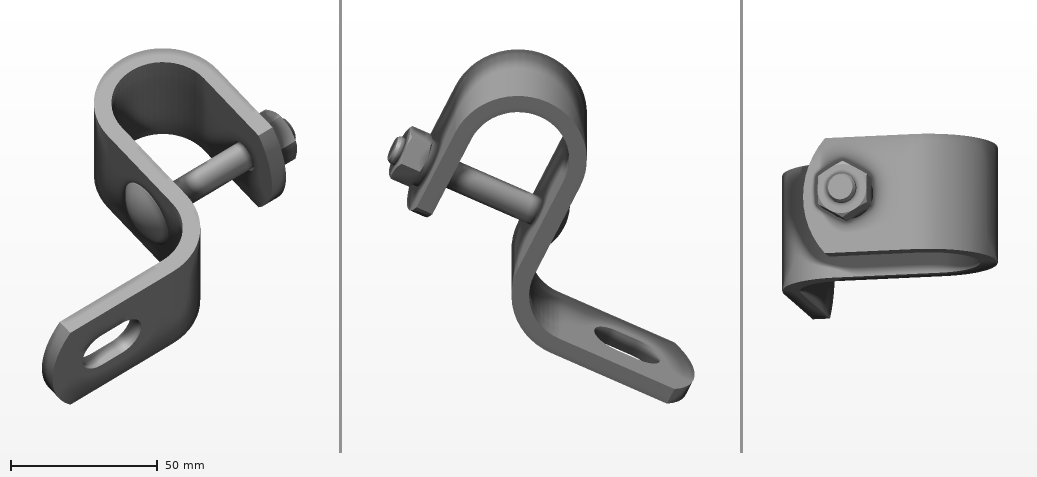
import cadquery as cq
import math

STRIP_WIDTH = 40.0
STRIP_THICKNESS = 6.0
BEND_INNER_RADIUS = 17.5
BEND_OUTER_RADIUS = BEND_INNER_RADIUS + STRIP_THICKNESS
FRONT_ARM_LENGTH = 36.5
END_RADIUS = 30.0
END_RISE = END_RADIUS - math.sqrt(END_RADIUS**2 - (STRIP_WIDTH / 2) ** 2)
BACK_ARM_LENGTH = 38.5
LEG_LENGTH = 51.4

LEG_BEND_Y = -BEND_OUTER_RADIUS - BEND_INNER_RADIUS
LEG_OUTER_X = FRONT_ARM_LENGTH + BEND_OUTER_RADIUS
LEG_INNER_X = LEG_OUTER_X - STRIP_THICKNESS
LEG_END_Y = LEG_BEND_Y - LEG_LENGTH

SLOT_LENGTH = 25.0
SLOT_WIDTH = 16.5
SLOT_CENTRE_Y = LEG_BEND_Y - 26.0

BOLT_X = 22.5
BOLT_DIAMETER = 10.0
BOLT_LENGTH = 60.0
TIP_DIAMETER = 8.5
TIP_LENGTH = 1.2
HEAD_DIAMETER = 24.0
HEAD_HEIGHT = 5.0
HEAD_RIM_HEIGHT = 0.4
CLEARANCE_HOLE_DIAMETER = 11.5

WASHER_DIAMETER = 17.0
WASHER_THICKNESS = 2.0

NUT_ACROSS_FLATS = 17.0
NUT_HEIGHT = 8.4
NUT_ACROSS_CORNERS = NUT_ACROSS_FLATS / math.cos(math.pi / 6)
NUT_CHAMFER_ANGLE = 30.0

HEAD_SEAT_Y = -BEND_OUTER_RADIUS
WASHER_SEAT_Y = BEND_OUTER_RADIUS
NUT_SEAT_Y = WASHER_SEAT_Y + WASHER_THICKNESS


def cylinder_along_y(diameter, start_y, length):
    """Cylinder on the bolt axis, growing towards +Y."""
    plane = cq.Plane(origin=(BOLT_X, start_y, 0), xDir=(1, 0, 0), normal=(0, 1, 0))
    return cq.Workplane(plane).circle(diameter / 2).extrude(length)


def revolve_about_bolt_axis(profile):
    """Full turn of a profile drawn in XY with the bolt axis at local x = 0."""
    return profile.close().revolve(360, (0, 0, 0), (0, 1, 0))


def bent_strip():
    """Strip with square ends: free arm, clamp loop, front arm, bend and leg."""
    diagonal = math.sqrt(0.5)
    return (
        cq.Workplane("XY", origin=(0, 0, -STRIP_WIDTH / 2))
        .moveTo(BACK_ARM_LENGTH, BEND_OUTER_RADIUS)
        .lineTo(0, BEND_OUTER_RADIUS)
        .threePointArc((-BEND_OUTER_RADIUS, 0), (0, -BEND_OUTER_RADIUS))
        .lineTo(FRONT_ARM_LENGTH, -BEND_OUTER_RADIUS)
        .threePointArc(
            (
                FRONT_ARM_LENGTH + BEND_INNER_RADIUS * diagonal,
                LEG_BEND_Y + BEND_INNER_RADIUS * diagonal,
            ),
            (LEG_INNER_X, LEG_BEND_Y),
        )
        .lineTo(LEG_INNER_X, LEG_END_Y)
        .lineTo(LEG_OUTER_X, LEG_END_Y)
        .lineTo(LEG_OUTER_X, LEG_BEND_Y)
        .threePointArc(
            (
                FRONT_ARM_LENGTH + BEND_OUTER_RADIUS * diagonal,
                LEG_BEND_Y + BEND_OUTER_RADIUS * diagonal,
            ),
            (FRONT_ARM_LENGTH, -BEND_INNER_RADIUS),
        )
        .lineTo(0, -BEND_INNER_RADIUS)
        .threePointArc((-BEND_INNER_RADIUS, 0), (0, BEND_INNER_RADIUS))
        .lineTo(BACK_ARM_LENGTH, BEND_INNER_RADIUS)
        .close()
        .extrude(STRIP_WIDTH)
    )


def end_trim(plane):
    """Waste outside a rounded end; the plane's origin is the crown and its x points off the end."""
    half_width = STRIP_WIDTH / 2
    return (
        cq.Workplane(plane)
        .moveTo(-END_RISE, -half_width)
        .threePointArc((0, 0), (-END_RISE, half_width))
        .lineTo(END_RISE, half_width)
        .lineTo(END_RISE, -half_width)
        .close()
        .extrude(STRIP_THICKNESS)
    )


def make_bracket():
    back_arm_end = cq.Plane(
        origin=(BACK_ARM_LENGTH, BEND_INNER_RADIUS, 0), xDir=(1, 0, 0), normal=(0, 1, 0)
    )
    leg_end = cq.Plane(origin=(LEG_INNER_X, LEG_END_Y, 0), xDir=(0, -1, 0), normal=(1, 0, 0))
    slot = (
        cq.Workplane("YZ", origin=(LEG_INNER_X, SLOT_CENTRE_Y, 0))
        .slot2D(SLOT_LENGTH, SLOT_WIDTH)
        .extrude(STRIP_THICKNESS)
    )
    front_hole = cylinder_along_y(BOLT_DIAMETER, -BEND_OUTER_RADIUS, STRIP_THICKNESS)
    back_hole = cylinder_along_y(CLEARANCE_HOLE_DIAMETER, BEND_INNER_RADIUS, STRIP_THICKNESS)
    bracket = bent_strip()
    for waste in (end_trim(back_arm_end), end_trim(leg_end), slot, front_hole, back_hole):
        bracket = bracket.cut(waste)
    return bracket


def make_bolt():
    """Domed head with a low rim, plain shank and a chamfered tip in one revolved profile."""
    head_radius = HEAD_DIAMETER / 2
    dome_rise = HEAD_HEIGHT - HEAD_RIM_HEIGHT
    dome_radius = (head_radius**2 + dome_rise**2) / (2 * dome_rise)
    mid_angle = math.asin(head_radius / dome_radius) / 2
    dome_mid_point = (
        dome_radius * math.sin(mid_angle),
        dome_radius * (1 - math.cos(mid_angle)) - HEAD_HEIGHT,
    )
    profile = (
        cq.Workplane("XY", origin=(BOLT_X, HEAD_SEAT_Y, 0))
        .moveTo(0, -HEAD_HEIGHT)
        .threePointArc(dome_mid_point, (head_radius, -HEAD_RIM_HEIGHT))
        .lineTo(head_radius, 0)
        .lineTo(BOLT_DIAMETER / 2, 0)
        .lineTo(BOLT_DIAMETER / 2, BOLT_LENGTH - TIP_LENGTH)
        .lineTo(TIP_DIAMETER / 2, BOLT_LENGTH)
        .lineTo(0, BOLT_LENGTH)
    )
    return revolve_about_bolt_axis(profile)


def make_washer():
    bore = cylinder_along_y(BOLT_DIAMETER, WASHER_SEAT_Y, WASHER_THICKNESS)
    return cylinder_along_y(WASHER_DIAMETER, WASHER_SEAT_Y, WASHER_THICKNESS).cut(bore)


def make_nut():
    """Hexagon with corners towards +Z and -Z, bevelled at both faces."""
    seat = cq.Plane(origin=(BOLT_X, NUT_SEAT_Y, 0), xDir=(0, 0, 1), normal=(0, 1, 0))
    hexagon = cq.Workplane(seat).polygon(6, NUT_ACROSS_CORNERS).extrude(NUT_HEIGHT)
    face_radius = NUT_ACROSS_FLATS / 2
    corner_radius = NUT_ACROSS_CORNERS / 2
    bevel_height = (corner_radius - face_radius) * math.tan(math.radians(NUT_CHAMFER_ANGLE))
    bevel_envelope = revolve_about_bolt_axis(
        cq.Workplane("XY", origin=(BOLT_X, NUT_SEAT_Y, 0))
        .lineTo(face_radius, 0)
        .lineTo(corner_radius, bevel_height)
        .lineTo(corner_radius, NUT_HEIGHT - bevel_height)
        .lineTo(face_radius, NUT_HEIGHT)
        .lineTo(0, NUT_HEIGHT)
    )
    bore = cylinder_along_y(BOLT_DIAMETER, NUT_SEAT_Y, NUT_HEIGHT)
    return hexagon.intersect(bevel_envelope).cut(bore)


bracket = make_bracket()
bolt = make_bolt()
washer = make_washer()
nut = make_nut()

result = cq.Compound.makeCompound([bracket.val(), bolt.val(), washer.val(), nut.val()])